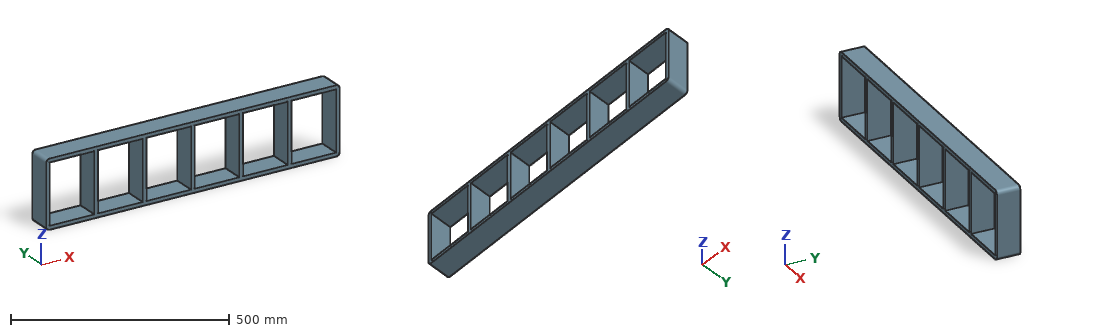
import cadquery as cq

length = 793.0
depth = 60.0
height = 179.0

wall = 10.0
corner_radius = wall
opening_count = 6
opening_width = (length - (opening_count + 1) * wall) / opening_count
opening_height = height - 2 * wall
opening_pitch = opening_width + wall


def outer_block():
    """Solid block with its four long outer corners rounded."""
    return cq.Workplane("XY").box(length, depth, height).edges("|Y").fillet(corner_radius)


def openings():
    """Row of equal square-cornered openings running through the depth."""
    return (
        cq.Workplane("XZ")
        .rarray(opening_pitch, 8, opening_count, 1)
        .rect(opening_width, opening_height)
        .extrude(depth, both=True)
    )


result = outer_block().cut(openings())